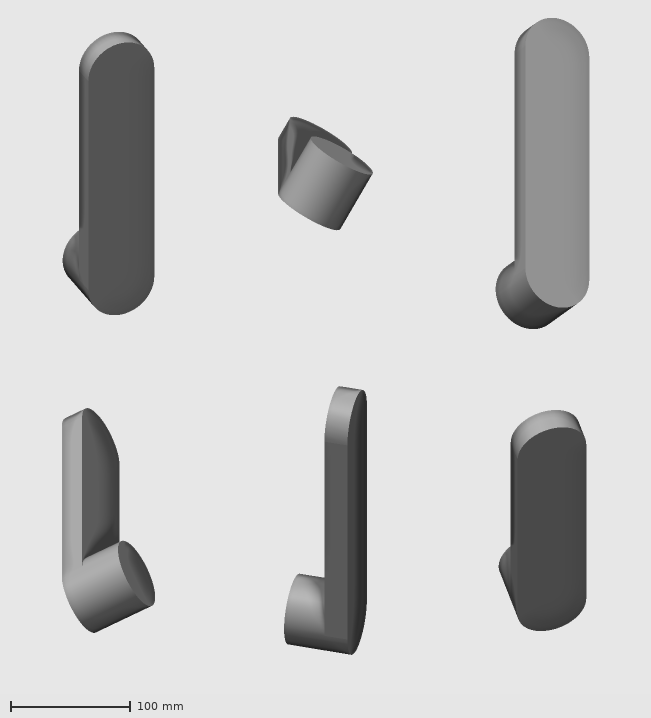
import cadquery as cq

total_height = 260.0
arm_width = 60.0
arm_thickness = 20.0
boss_length = 35.0

boss_radius = arm_width / 2
boss_center_z = -total_height / 2 + boss_radius

arm = cq.Workplane("YZ").slot2D(total_height, arm_width, 90).extrude(arm_thickness)

boss = (
    cq.Workplane("YZ")
    .center(0, boss_center_z)
    .circle(boss_radius)
    .extrude(-boss_length)
)

result = arm.union(boss)